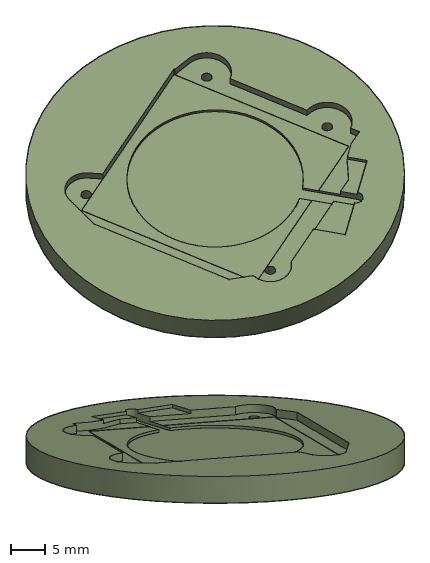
import cadquery as cq
import math

plate_diameter = 55.0
plate_thickness = 4.0

lever_recess_depth = 0.5
ledge_depth = 1.2
seat_depth = 1.25
disc_depth = 1.65

seat_side = 28.7
disc_diameter = 25.6

hole_diameter = 1.5
back_hole_x = 9.9
back_hole_y = 16.1
back_lobe_radius = 3.6
front_hole_x = 15.1
front_hole_y = -11.45
front_lobe_radius = 3.1

ledge_half_length = 16.6
ledge_right = 17.5
back_right_corner_x = 14.9
back_right_side_end_y = 14.1
right_side_bend = (15.6, 11.5)
right_side_top_y = 8.4
front_edge_left_x = -11.1
front_edge_right_x = 11.05
front_right_bevel_end = (13.75, -14.4)
left_lobe_start_y = -7.75
back_lobe_start_x = -14.2

lever_angle = 15.0
lever_offset = 0.1
lever_reach = 20.95
lever_recess_start = 16.0
lever_recess_length = 14.2
slot_width = 2.0

seat_half = seat_side / 2
back_left_hole = (-back_hole_x, back_hole_y)
back_right_hole = (back_hole_x, back_hole_y)
front_left_hole = (-front_hole_x, front_hole_y)
front_right_hole = (front_hole_x, front_hole_y)
holes = [back_left_hole, back_right_hole, front_left_hole, front_right_hole]


def tangent_point(outside, center, radius, turn):
    """Point where the line from `outside` touches a circle; `turn` (+1 or -1) picks the side."""
    dx = outside[0] - center[0]
    dy = outside[1] - center[1]
    angle = math.atan2(dy, dx) + turn * math.acos(radius / math.hypot(dx, dy))
    return (center[0] + radius * math.cos(angle), center[1] + radius * math.sin(angle))


def cylinder_down(center, diameter, depth):
    """Cylinder reaching from the top face down to the given depth."""
    return cq.Workplane("XY").center(*center).circle(diameter / 2).extrude(-depth)


def ledge_pocket():
    """Irregular pocket: straight sides blended into a round lobe at each screw hole."""
    back_lobe_start = (back_lobe_start_x, seat_half)
    left_lobe_start = (-seat_half, left_lobe_start_y)
    front_edge_left = (front_edge_left_x, -ledge_half_length)
    outline = [
        front_right_hole,
        (ledge_right, front_hole_y),
        (ledge_right, right_side_top_y),
        right_side_bend,
        (back_right_corner_x, back_right_side_end_y),
        (back_right_corner_x, ledge_half_length),
        (-back_hole_x, ledge_half_length),
        tangent_point(back_lobe_start, back_left_hole, back_lobe_radius, -1),
        back_lobe_start,
        (-seat_half, seat_half),
        left_lobe_start,
        tangent_point(left_lobe_start, front_left_hole, front_lobe_radius, 1),
        front_left_hole,
        tangent_point(front_edge_left, front_left_hole, front_lobe_radius, -1),
        front_edge_left,
        (front_edge_right_x, -ledge_half_length),
        front_right_bevel_end,
    ]
    pocket = cq.Workplane("XY").polyline(outline).close().extrude(-ledge_depth)
    for hole in (back_left_hole, back_right_hole):
        pocket = pocket.union(cylinder_down(hole, 2 * back_lobe_radius, ledge_depth))
    for hole in (front_left_hole, front_right_hole):
        pocket = pocket.union(cylinder_down(hole, 2 * front_lobe_radius, ledge_depth))
    return pocket


def seat_pocket():
    """Square floor sunk slightly below the ledge."""
    return cq.Workplane("XY").rect(seat_side, seat_side).extrude(-seat_depth)


def lever_recess():
    """Shallow tilted rectangle beside the ledge pocket."""
    width = lever_reach - lever_recess_start
    middle = lever_recess_start + width / 2
    recess = cq.Workplane("XY").center(middle, lever_offset).rect(width, lever_recess_length)
    return recess.extrude(-lever_recess_depth).rotate((0, 0, 0), (0, 0, 1), lever_angle)


def lever_slot():
    """Round-ended slot running from the disc pocket out across the lever recess."""
    slot = cq.Workplane("XY").center(lever_reach / 2, lever_offset).rect(lever_reach, slot_width)
    slot = slot.extrude(-disc_depth)
    slot = slot.union(cylinder_down((lever_reach, lever_offset), slot_width, disc_depth))
    return slot.rotate((0, 0, 0), (0, 0, 1), lever_angle)


result = cylinder_down((0, 0), plate_diameter, plate_thickness)
result = result.cut(ledge_pocket())
result = result.cut(seat_pocket())
result = result.cut(cylinder_down((0, 0), disc_diameter, disc_depth))
result = result.cut(lever_recess())
result = result.cut(lever_slot())
for hole in holes:
    result = result.cut(cylinder_down(hole, hole_diameter, plate_thickness))